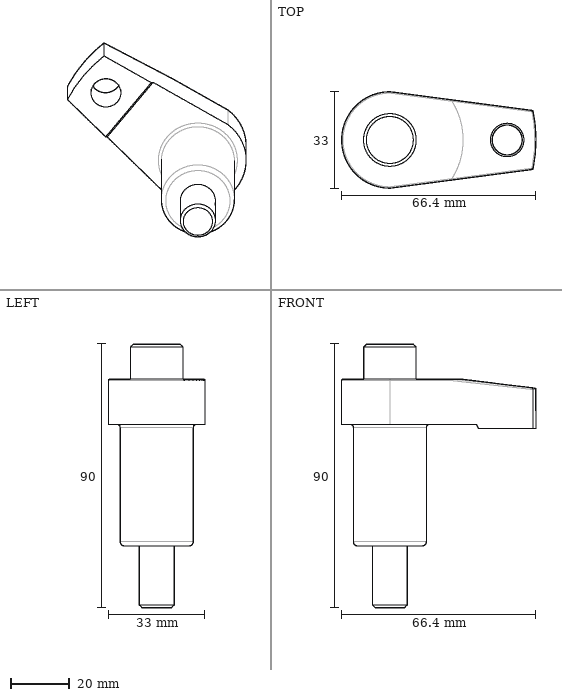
import cadquery as cq
import math

ARM_HEIGHT = 15.5
HEAD_DIAMETER = 33.0
HEAD_RADIUS = HEAD_DIAMETER / 2
ARM_LENGTH = 66.4
TIP_RADIUS = ARM_LENGTH - HEAD_RADIUS
TIP_HALF_WIDTH = 10.1
TOP_FLAT_RADIUS = 25.0
TOP_SLOPE = 7.0
TOP_EDGE_FILLET = 0.495

FOOT_DEPTH = 1.35
FOOT_START_X = 29.5
FOOT_RAMP_LENGTH = 0.7

HOLE_X = 40.05
HOLE_DIAMETER = 10.2
HOLE_CHAMFER = 0.6

UPPER_PIN_DIAMETER = 18.0
UPPER_PIN_LENGTH = 12.0
LOWER_PIN_DIAMETER = 12.0
PIN_CHAMFER = 1.0

SLEEVE_DIAMETER = 25.0
SLEEVE_LENGTH = 41.5
SLEEVE_END_FILLET = 1.5
SLEEVE_ROOT_FILLET = 1.0

TOTAL_HEIGHT = 90.0
LOWER_PIN_LENGTH = TOTAL_HEIGHT - UPPER_PIN_LENGTH - ARM_HEIGHT - SLEEVE_LENGTH

PICK_MARGIN = 0.9


def arm_outline():
    """Solid with the arm's plan outline, from the foot face to the flat top."""
    tip_x = math.sqrt(TIP_RADIUS**2 - TIP_HALF_WIDTH**2)
    return (
        cq.Workplane("XY", origin=(0, 0, -FOOT_DEPTH))
        .moveTo(0, HEAD_RADIUS)
        .threePointArc((-HEAD_RADIUS, 0), (0, -HEAD_RADIUS))
        .lineTo(tip_x, -TIP_HALF_WIDTH)
        .threePointArc((TIP_RADIUS, 0), (tip_x, TIP_HALF_WIDTH))
        .close()
        .extrude(ARM_HEIGHT + FOOT_DEPTH)
    )


def top_envelope():
    """Revolved body whose upper face is flat, then conical; its seam is kept off the arm's tip."""
    rim_radius = TIP_RADIUS + HEAD_RADIUS
    rim_z = ARM_HEIGHT - (rim_radius - TOP_FLAT_RADIUS) * math.tan(math.radians(TOP_SLOPE))
    return (
        cq.Workplane("XZ")
        .moveTo(0, -FOOT_DEPTH)
        .lineTo(-rim_radius, -FOOT_DEPTH)
        .lineTo(-rim_radius, rim_z)
        .lineTo(-TOP_FLAT_RADIUS, ARM_HEIGHT)
        .lineTo(0, ARM_HEIGHT)
        .close()
        .revolve(360, (0, 0, 0), (0, 1, 0))
    )


def underside_relief():
    """Material removed below the arm so that only the foot reaches down."""
    return (
        cq.Workplane("XZ")
        .moveTo(-TIP_RADIUS, 0)
        .lineTo(FOOT_START_X, 0)
        .lineTo(FOOT_START_X + FOOT_RAMP_LENGTH, -FOOT_DEPTH)
        .lineTo(-TIP_RADIUS, -FOOT_DEPTH)
        .close()
        .extrude(2 * HEAD_RADIUS, both=True)
    )


def make_arm():
    arm = arm_outline().intersect(top_envelope()).cut(underside_relief())
    upper_edges = cq.selectors.BoxSelector(
        (-TIP_RADIUS, -TIP_RADIUS, ARM_HEIGHT / 2 + PICK_MARGIN),
        (TIP_RADIUS, TIP_RADIUS, ARM_HEIGHT + PICK_MARGIN),
    )
    shared_arc = cq.selectors.BoxSelector(
        (HEAD_RADIUS, -PICK_MARGIN, ARM_HEIGHT - PICK_MARGIN),
        (TOP_FLAT_RADIUS, PICK_MARGIN, ARM_HEIGHT + PICK_MARGIN),
    )
    top_rim = upper_edges - shared_arc
    arm = arm.edges(top_rim).fillet(TOP_EDGE_FILLET)
    hole = (
        cq.Workplane("XY", origin=(HOLE_X, 0, -FOOT_DEPTH))
        .circle(HOLE_DIAMETER / 2)
        .extrude(ARM_HEIGHT + FOOT_DEPTH)
    )
    arm = arm.cut(hole)
    hole_mouth = cq.selectors.BoxSelector(
        (HOLE_X - PICK_MARGIN, -PICK_MARGIN, ARM_HEIGHT / 2),
        (HOLE_X + PICK_MARGIN, PICK_MARGIN, ARM_HEIGHT),
    )
    return arm.edges(hole_mouth).chamfer(HOLE_CHAMFER)


def make_upper_pin():
    return (
        cq.Workplane("XY", origin=(0, 0, ARM_HEIGHT))
        .circle(UPPER_PIN_DIAMETER / 2)
        .extrude(UPPER_PIN_LENGTH)
        .faces(">Z")
        .chamfer(PIN_CHAMFER)
    )


def make_sleeve():
    return (
        cq.Workplane("XY")
        .circle(SLEEVE_DIAMETER / 2)
        .extrude(-SLEEVE_LENGTH)
        .faces("<Z")
        .edges()
        .fillet(SLEEVE_END_FILLET)
    )


def make_sleeve_root():
    """Concave ring blending the sleeve into the arm's underside."""
    sleeve_radius = SLEEVE_DIAMETER / 2
    mid_offset = SLEEVE_ROOT_FILLET * (1 - math.sqrt(0.5))
    return (
        cq.Workplane("XZ")
        .moveTo(0, 0)
        .lineTo(sleeve_radius + SLEEVE_ROOT_FILLET, 0)
        .threePointArc(
            (sleeve_radius + mid_offset, -mid_offset),
            (sleeve_radius, -SLEEVE_ROOT_FILLET),
        )
        .lineTo(0, -SLEEVE_ROOT_FILLET)
        .close()
        .revolve(360, (0, 0, 0), (0, 1, 0))
    )


def make_lower_pin():
    return (
        cq.Workplane("XY", origin=(0, 0, -SLEEVE_LENGTH))
        .circle(LOWER_PIN_DIAMETER / 2)
        .extrude(-LOWER_PIN_LENGTH)
        .faces("<Z")
        .chamfer(PIN_CHAMFER)
    )


result = (
    make_arm()
    .union(make_upper_pin())
    .union(make_sleeve())
    .union(make_sleeve_root())
    .union(make_lower_pin())
)